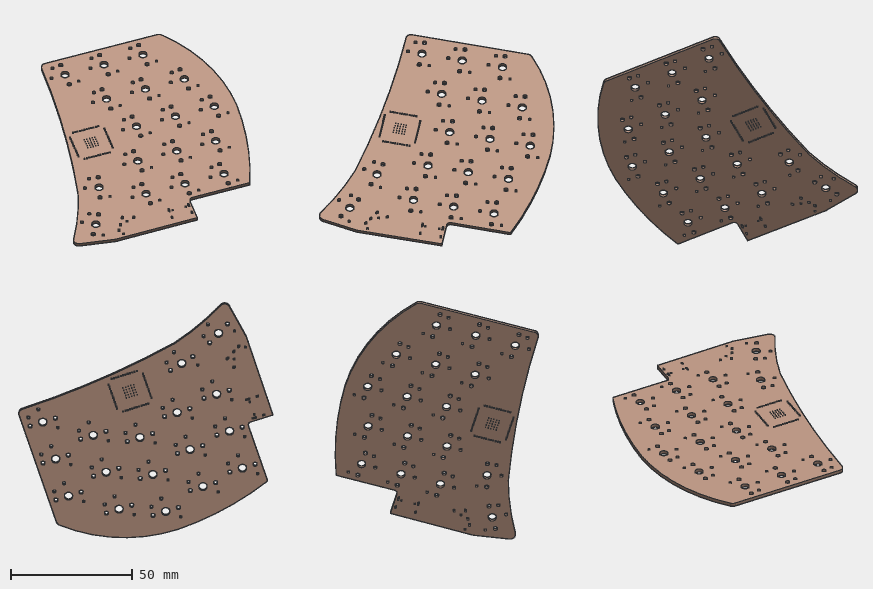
import cadquery as cq

THICKNESS = 1.6

LEFT_X = -49.9
NOTCH_X = 38.6
SHOULDER_Y = 8.8
LOWER_LEFT = (LEFT_X, -26.1)
UPPER_LEFT = (LEFT_X, 26.0)
UPPER_LEFT_ARC_MID = (-28.7, 39.2)
CREST = (-3.0, 43.8)
UPPER_RIGHT_ARC_MID = (14.6, 42.0)
UPPER_RIGHT = (NOTCH_X, 35.5)
NOTCH = (NOTCH_X, SHOULDER_Y)
SHOULDER = (49.6, SHOULDER_Y)
RIGHT_BEND = (49.9, -27.0)
THUMB_TIP = (46.9, -44.9)
THUMB_ARC_MID = (30.4, -36.8)
LOWER_BEND = (21.0, -33.6)
LOWER_ARC_MID = (-14.5, -28.1)

NOTCH_RADIUS = 1.6
LOWER_LEFT_RADIUS = 2.1
UPPER_LEFT_RADIUS = 2.4
UPPER_RIGHT_RADIUS = 0.5
THUMB_TIP_RADIUS = 2.2

ROW_PITCH = 17.0
FIRST_COLUMN_X = -41.6
LAST_COLUMN_X = 30.5
COLUMN_BOTTOM_Y = (-18.1, -6.1, 0.9, -4.6, -7.1)
COLUMN_PITCH = (LAST_COLUMN_X - FIRST_COLUMN_X) / (len(COLUMN_BOTTOM_Y) - 1)
ROWS = 3
THUMB_KEY_X_Y_ANGLE = ((21.0, -24.4, -15), (39.6, -32.1, -30))
STEM_DIAMETER = 3.4
PEG_DIAMETER = 1.7
PEG_OFFSET = 5.5
PIN_DIAMETER = 1.3
PIN_POINTS = ((0, -5.9), (-5.0, -3.8))
RETAINER_DIAMETER = 0.99
RETAINER_POINT = (5.2, 4.2)

MODULE_CENTRE = (-3.1, -19.6)
EDGE_PINS = 12
EDGE_PIN_PITCH = 1.0
EDGE_PIN_ROW_SPACING = 15.0
EDGE_PIN_DIAMETER = 0.5
VIAS = 5
VIA_SPAN = 4.6
VIA_DIAMETER = 0.2

SOCKET_CENTRE_Y = 3.3
SOCKET_SLOT_SPACING = 8.6
SOCKET_SLOT_WIDTH = 0.6
SOCKET_SLOT_X_AND_LENGTH = ((41.9, 1.8), (46.1, 1.2))
SOCKET_PEG_X = 42.4
SOCKET_PEG_SPACING = 5.8
SOCKET_PEG_DIAMETER = 0.65

JACK_ORIGIN = (42.1, -19.4)
JACK_ANGLE = -30
JACK_PEG_SPACING = 7.0
JACK_PEG_DIAMETER = 0.8
JACK_SLOT_LENGTH = 1.3
JACK_SLOT_WIDTH = 0.8
JACK_SLOTS = ((-2.7, 2.3), (-1.6, -2.3), (2.4, -2.3), (5.4, -2.3))


def plate():
    """The outline as a solid slab with its corners rounded."""
    slab = (
        cq.Workplane("XY")
        .moveTo(*LOWER_LEFT)
        .lineTo(*UPPER_LEFT)
        .threePointArc(UPPER_LEFT_ARC_MID, CREST)
        .threePointArc(UPPER_RIGHT_ARC_MID, UPPER_RIGHT)
        .lineTo(*NOTCH)
        .lineTo(*SHOULDER)
        .lineTo(*RIGHT_BEND)
        .lineTo(*THUMB_TIP)
        .threePointArc(THUMB_ARC_MID, LOWER_BEND)
        .threePointArc(LOWER_ARC_MID, LOWER_LEFT)
        .close()
        .extrude(THICKNESS)
    )
    rounded = (
        (NOTCH, NOTCH_RADIUS),
        (LOWER_LEFT, LOWER_LEFT_RADIUS),
        (UPPER_LEFT, UPPER_LEFT_RADIUS),
        (UPPER_RIGHT, UPPER_RIGHT_RADIUS),
        (THUMB_TIP, THUMB_TIP_RADIUS),
    )
    for corner, radius in rounded:
        corner_edge = cq.selectors.NearestToPointSelector((*corner, THICKNESS / 2))
        slab = slab.edges(corner_edge).fillet(radius)
    return slab


def frame(x, y, angle=0):
    """A workplane on the underside, moved to a point and turned about Z."""
    return cq.Workplane("XY").transformed(offset=(x, y, 0), rotate=(0, 0, angle))


def round_cutters(plane, points, diameter):
    """Cylinders through the full thickness at points of the workplane."""
    return plane.pushPoints(points).circle(diameter / 2).extrude(THICKNESS)


def key_cutters(x, y, angle=0):
    """Stem, side pegs, contact pins and retainer of one key switch."""
    plane = frame(x, y, angle)
    pegs = [(-PEG_OFFSET, 0), (PEG_OFFSET, 0)]
    return [
        round_cutters(plane, [(0, 0)], STEM_DIAMETER),
        round_cutters(plane, pegs, PEG_DIAMETER),
        round_cutters(plane, PIN_POINTS, PIN_DIAMETER),
        round_cutters(plane, [RETAINER_POINT], RETAINER_DIAMETER),
    ]


def all_key_cutters():
    """The columns of the grid, then the thumb keys."""
    cutters = []
    for column, bottom_y in enumerate(COLUMN_BOTTOM_Y):
        for row in range(ROWS):
            cutters += key_cutters(FIRST_COLUMN_X + column * COLUMN_PITCH, bottom_y + row * ROW_PITCH)
    for x, y, angle in THUMB_KEY_X_Y_ANGLE:
        cutters += key_cutters(x, y, angle)
    return cutters


def module_cutters():
    """A row of edge pins along each side of the square, and the vias inside it."""
    plane = frame(*MODULE_CENTRE)
    half_spacing = EDGE_PIN_ROW_SPACING / 2
    edge_pins = []
    for i in range(EDGE_PINS):
        along = (i - (EDGE_PINS - 1) / 2) * EDGE_PIN_PITCH
        for side in (-half_spacing, half_spacing):
            edge_pins += [(along, side), (side, along)]
    via_places = [(i / (VIAS - 1) - 0.5) * VIA_SPAN for i in range(VIAS)]
    vias = [(x, y) for x in via_places for y in via_places]
    return [
        round_cutters(plane, edge_pins, EDGE_PIN_DIAMETER),
        round_cutters(plane, vias, VIA_DIAMETER),
    ]


def socket_cutters():
    """Locating holes and slots, mirrored about the centre line of the socket."""
    plane = frame(0, SOCKET_CENTRE_Y)
    pegs = [(SOCKET_PEG_X, side * SOCKET_PEG_SPACING / 2) for side in (-1, 1)]
    cutters = [round_cutters(plane, pegs, SOCKET_PEG_DIAMETER)]
    for x, length in SOCKET_SLOT_X_AND_LENGTH:
        places = [(x, side * SOCKET_SLOT_SPACING / 2) for side in (-1, 1)]
        cutters.append(plane.pushPoints(places).slot2D(length, SOCKET_SLOT_WIDTH).extrude(THICKNESS))
    return cutters


def jack_cutters():
    """Two locating holes and four slots along the turned axis of the jack."""
    plane = frame(*JACK_ORIGIN, JACK_ANGLE)
    slots = plane.pushPoints(JACK_SLOTS).slot2D(JACK_SLOT_LENGTH, JACK_SLOT_WIDTH).extrude(THICKNESS)
    return [
        round_cutters(plane, [(0, 0), (JACK_PEG_SPACING, 0)], JACK_PEG_DIAMETER),
        slots,
    ]


cutters = all_key_cutters() + module_cutters() + socket_cutters() + jack_cutters()
cutting_solids = [solid for cutter in cutters for solid in cutter.solids().vals()]
result = cq.Workplane(plate().val().cut(*cutting_solids))